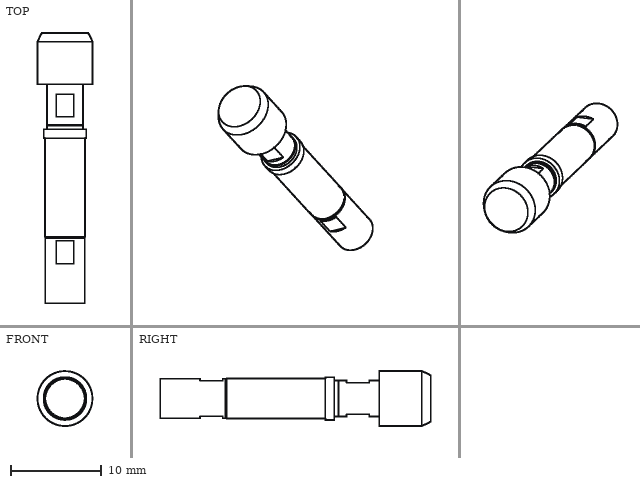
import cadquery as cq

total_length = 29.9
rear_face_y = total_length / 2

head_diameter = 6.1
head_length = 5.7
nose_length = 1.0
nose_end_diameter = 5.1
nose_bulge = 0.04

neck_diameter = 4.0
neck_length = 4.55
neck_bevel = 0.1

shoulder_diameter = 4.0
shoulder_length = 0.4

collar_diameter = 4.75
collar_length = 1.0

barrel_diameter = 4.45
barrel_length = 10.9

tail_diameter = 4.4
tail_bevel_length = 0.15
tail_bevel_depth = 0.07

flat_length = 2.5
neck_flat_offset = 1.1
neck_flat_thickness = 3.5
tail_flat_offset = 0.45
tail_flat_thickness = 3.95

head_front_y = rear_face_y - head_length
neck_front_y = head_front_y - neck_length
collar_rear_y = neck_front_y - shoulder_length
collar_front_y = collar_rear_y - collar_length
barrel_front_y = collar_front_y - barrel_length
front_face_y = -rear_face_y


def cylinder(diameter, rear_y, front_y):
    """Solid cylinder on the Y axis between two Y places."""
    return cq.Workplane("XZ", origin=(0, rear_y, 0)).circle(diameter / 2).extrude(rear_y - front_y)


def head():
    """Cylindrical head, with an arc narrowing it toward the rear face."""
    nose_front_y = rear_face_y - nose_length
    return (
        cq.Workplane("XY")
        .moveTo(0, head_front_y)
        .lineTo(head_diameter / 2, head_front_y)
        .lineTo(head_diameter / 2, nose_front_y)
        .sagittaArc((nose_end_diameter / 2, rear_face_y), -nose_bulge)
        .lineTo(0, rear_face_y)
        .close()
        .revolve(axisStart=(0, 0, 0), axisEnd=(0, 1, 0))
    )


def neck():
    """Neck with a bevelled front edge."""
    return cylinder(neck_diameter, head_front_y, neck_front_y).faces("<Y").chamfer(neck_bevel)


def tail():
    """Tail with a bevelled rear edge."""
    body = cylinder(tail_diameter, barrel_front_y, front_face_y)
    return body.faces(">Y").chamfer(tail_bevel_length, tail_bevel_depth)


def cut_flats(body, thickness, rear_y):
    """Cut a pair of opposite flats, leaving the given thickness along Z."""
    for side in (1, -1):
        cutter = cq.Workplane("XY").box(head_diameter, flat_length, head_diameter)
        centre_z = side * (thickness + head_diameter) / 2
        body = body.cut(cutter.translate((0, rear_y - flat_length / 2, centre_z)))
    return body


result = head().union(neck())
result = result.union(cylinder(shoulder_diameter, neck_front_y, collar_rear_y))
result = result.union(cylinder(collar_diameter, collar_rear_y, collar_front_y))
result = result.union(cylinder(barrel_diameter, collar_front_y, barrel_front_y))
result = result.union(tail())
result = cut_flats(result, neck_flat_thickness, head_front_y - neck_flat_offset)
result = cut_flats(result, tail_flat_thickness, barrel_front_y - tail_flat_offset)